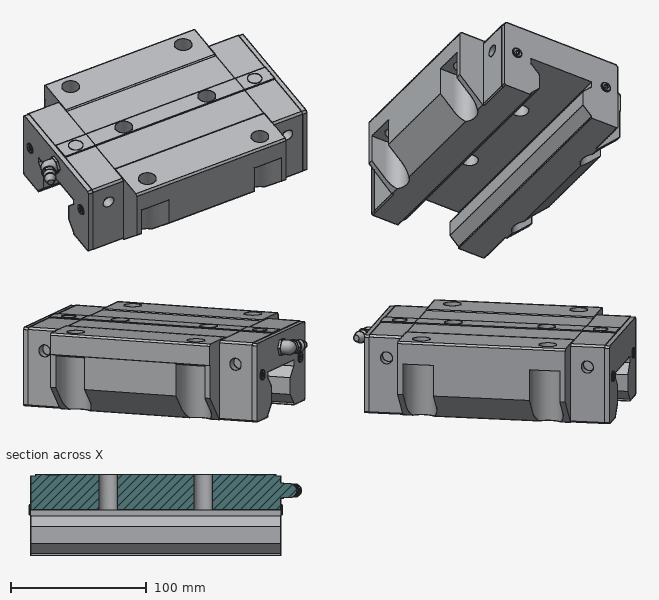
import cadquery as cq


block_width = 140.0
block_length = 126.0
block_height = 60.0
flank_height = 20.0
edge_chamfer = 1.5
relief_depth = 0.6
relief_top = 44.0

recess_depth = 0.7
recess_top_half_width = 37.4
recess_floor_half_width = 36.2
strip_top_half_width = 7.1
strip_base_half_width = 7.5

bolt_hole_diameter = 13.0
corner_hole_x = 58.0
corner_hole_y = 47.5
centre_hole_y = 35.0
bolt_seat_width = 22.8
bolt_seat_height = 43.2

passage_half_width = 26.4
passage_height = 33.8
throat_half_width = 18.9
throat_bottom = 9.1
throat_top = 21.7

cap_width = 99.0
cap_half_length = 88.5
cap_chamfer = 1.6
cap_foot_chamfer = 1.0
cap_drop = 0.1
plate_width = 98.6
plate_thickness = 3.7
plate_height = 58.8

port_y = 75.5
side_port_z = 42.4
side_port_diameter = 9.0
side_port_depth = 8.0
top_port_diameter = 10.7
top_port_depth = 0.3

screw_x = 38.6
screw_z = 33.8
screw_head_diameter = 7.8
screw_head_height = 1.2
screw_chamfer = 0.5
socket_width = 3.6
socket_depth = 1.0

nipple_z = 48.0
collar_corner_width = 13.2
collar_length = 1.8
elbow_diameter = 10.8
elbow_reach = 6.56
nipple_angle = 22.5
nut_corner_width = 11.0
nut_start = 4.7
nut_end = 7.3
neck_position = 9.6
bulge_position = 11.7
nipple_length = 16.48
shoulder_diameter = 9.2
neck_diameter = 7.0
bulge_diameter = 9.0
tip_diameter = 4.8

block_half_length = block_length / 2
recess_floor = block_height - recess_depth
plate_face = cap_half_length + plate_thickness
overlap = 0.5
top_port_floor = block_height - cap_drop - top_port_depth
SIDES = (-1, 1)


def prism(points, half_length):
    """Extrude an XZ outline symmetrically about Y = 0."""
    return cq.Workplane("XZ").polyline(points).close().extrude(half_length, both=True)


def vertical_cylinder(diameter, bottom, height, x, y):
    return cq.Workplane("XY", origin=(x, y, bottom)).circle(diameter / 2).extrude(height)


def make_block():
    side = block_width / 2
    foot = side - flank_height
    outline = [
        (-foot, 0),
        (foot, 0),
        (side, flank_height),
        (side, block_height - edge_chamfer),
        (side - edge_chamfer, block_height),
        (-side + edge_chamfer, block_height),
        (-side, block_height - edge_chamfer),
        (-side, relief_top),
        (-side + relief_depth, relief_top),
        (-side + relief_depth, flank_height - relief_depth),
    ]
    recess = [
        (-recess_top_half_width, block_height),
        (-recess_floor_half_width, recess_floor),
        (recess_floor_half_width, recess_floor),
        (recess_top_half_width, block_height),
    ]
    return prism(outline, block_half_length).cut(prism(recess, block_half_length))


def make_end_section(width, height, half_length):
    """Full-length bar with chamfered edges; it shows as caps or plates at both ends."""
    side = width / 2
    outline = [
        (-side + cap_foot_chamfer, 0),
        (side - cap_foot_chamfer, 0),
        (side, cap_foot_chamfer),
        (side, height - cap_chamfer),
        (side - cap_chamfer, height),
        (-side + cap_chamfer, height),
        (-side, height - cap_chamfer),
        (-side, cap_foot_chamfer),
    ]
    return prism(outline, half_length)


def make_centre_strip(drop, half_length):
    """Raised strip with sloping sides, lowered by the given drop."""
    shoulder = recess_floor - drop
    strip_top = block_height - drop
    strip_base = shoulder - overlap
    outline = [
        (-strip_base_half_width, strip_base),
        (strip_base_half_width, strip_base),
        (strip_base_half_width, shoulder),
        (strip_top_half_width, strip_top),
        (-strip_top_half_width, strip_top),
        (-strip_base_half_width, shoulder),
    ]
    return prism(outline, half_length)


def make_rail_passage():
    lip = passage_half_width - throat_half_width
    right_side = [
        (passage_half_width, 0),
        (passage_half_width, throat_bottom - lip),
        (throat_half_width, throat_bottom),
        (throat_half_width, throat_top),
        (passage_half_width, throat_top + lip),
        (passage_half_width, passage_height),
    ]
    left_side = [(-x, z) for x, z in reversed(right_side)]
    return prism(right_side + left_side, plate_face)


def make_corner_hole(side, y):
    """Through hole with a round-ended seat that runs out through the flange side."""
    x = side * corner_hole_x
    hole = vertical_cylinder(bolt_hole_diameter, 0, block_height, x, y)
    seat_end = vertical_cylinder(bolt_seat_width, 0, bolt_seat_height, x, y)
    run_out = block_width / 2 - corner_hole_x
    seat = cq.Workplane("XY").box(run_out, bolt_seat_width, bolt_seat_height)
    seat = seat.translate((x + side * run_out / 2, y, bolt_seat_height / 2))
    return hole.union(seat_end).union(seat)


def make_side_port(side, y):
    start = cq.Workplane("YZ", origin=(side * cap_width / 2, y, side_port_z))
    return start.circle(side_port_diameter / 2).extrude(-side * side_port_depth)


def make_screw(side, end):
    head = cq.Workplane("XZ", origin=(0, overlap, 0)).circle(screw_head_diameter / 2)
    head = head.extrude(screw_head_height + overlap).faces("<Y").chamfer(screw_chamfer)
    socket = cq.Workplane("XZ", origin=(0, -screw_head_height, 0)).polygon(6, socket_width)
    screw = head.cut(socket.extrude(-socket_depth))
    if end > 0:
        screw = screw.mirror("XZ")
    return screw.translate((side * screw_x, end * plate_face, screw_z))


def make_grease_nipple():
    elbow_y = -plate_face - elbow_reach
    root = cq.Workplane("XZ", origin=(0, -plate_face + overlap, nipple_z))
    collar = root.polygon(6, collar_corner_width).extrude(collar_length + overlap)
    barrel = root.circle(elbow_diameter / 2).extrude(elbow_reach + overlap)
    ball = cq.Workplane("XY").sphere(elbow_diameter / 2)

    nut = cq.Workplane("YZ", origin=(nut_start, 0, 0)).polygon(6, nut_corner_width)
    nut = nut.extrude(nut_end - nut_start)
    profile = [
        (0, 0),
        (0, neck_diameter / 2),
        (nut_start, shoulder_diameter / 2),
        (nut_end, shoulder_diameter / 2),
        (neck_position, neck_diameter / 2),
        (bulge_position, bulge_diameter / 2),
        (nipple_length, tip_diameter / 2),
        (nipple_length, 0),
    ]
    tip = cq.Workplane("XY").polyline(profile).close().revolve(360, (0, 0, 0), (1, 0, 0))
    outlet = nut.union(tip).rotate((0, 0, 0), (0, 0, 1), -nipple_angle)
    head = ball.union(outlet).translate((0, elbow_y, nipple_z))
    return collar.union(barrel).union(head)


result = make_block()
result = result.union(make_end_section(cap_width, recess_floor - cap_drop, cap_half_length))
result = result.union(make_end_section(plate_width, plate_height, plate_face))
result = result.union(make_centre_strip(0, block_half_length))
result = result.union(make_centre_strip(cap_drop, cap_half_length))
result = result.cut(make_rail_passage())

for end in SIDES:
    centre_hole = vertical_cylinder(bolt_hole_diameter, 0, block_height, 0, end * centre_hole_y)
    top_port = vertical_cylinder(top_port_diameter, top_port_floor, top_port_depth, 0, end * port_y)
    result = result.cut(centre_hole).cut(top_port)
    for side in SIDES:
        result = result.cut(make_corner_hole(side, end * corner_hole_y))
        result = result.cut(make_side_port(side, end * port_y))
        result = result.union(make_screw(side, end))

result = result.union(make_grease_nipple())